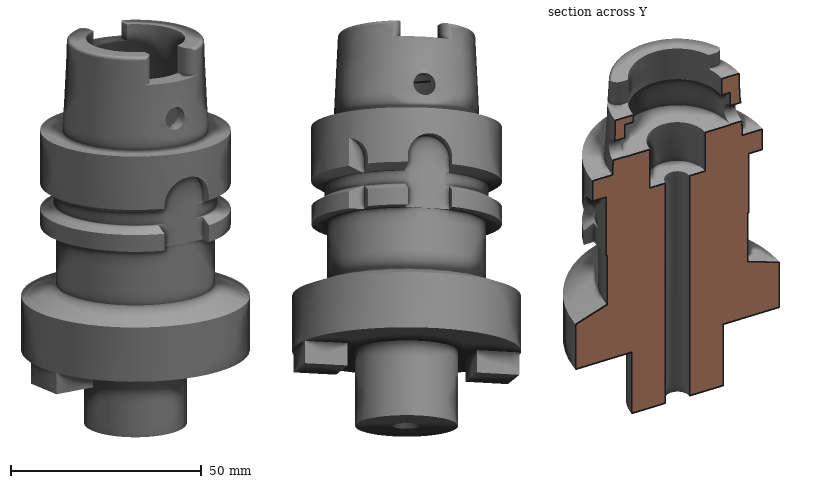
import cadquery as cq
import math


TAPER_LENGTH = 25.0
TAPER_BASE_RADIUS = 19.2
TAPER_RATIO = 0.1
TAPER_TOP_RADIUS = TAPER_BASE_RADIUS - TAPER_RATIO * TAPER_LENGTH / 2
TAPER_TOP_ROUND = 1.0

FLANGE_RADIUS = 25.0
FLANGE_THICKNESS = 26.0
GROOVE_CENTRE_Z = -18.0
GROOVE_FLOOR_WIDTH = 3.6
GROOVE_FLOOR_RADIUS = 21.5
GROOVE_CHAMFER_RADIUS = 22.2
GROOVE_FLANK_ANGLE = 30.0

NECK_RADIUS = 20.8
COLLAR_RADIUS = 30.0
COLLAR_CONE_ANGLE = 20.0
COLLAR_RIM_TOP_Z = -45.2
COLLAR_BOTTOM_Z = -60.0
SPIGOT_RADIUS = 13.5
SPIGOT_LENGTH = 20.0
SPIGOT_END_Z = COLLAR_BOTTOM_Z - SPIGOT_LENGTH

MOUTH_RADIUS = 13.0
MOUTH_DEPTH = 10.0
CAVITY_RADIUS = 15.5
CAVITY_FLOOR_Z = 4.6
SOCKET_RADIUS = 8.1
SOCKET_FLOOR_Z = -8.0
THROUGH_RADIUS = 3.5

SLOT_WIDTH = 10.6
SLOT_CORNER_RADIUS = 2.5
LUG_HALF_LENGTH = 16.25
LEFT_SLOT_DEPTH = 4.5
RIGHT_SLOT_DEPTH = 7.5

CROSS_HOLE_RADIUS = 3.0
CROSS_HOLE_Z = 7.7

LEFT_KEYWAY_WIDTH = 12.0
RIGHT_KEYWAY_WIDTH = 14.0
SLOT_TOP_Z = -6.8
KEYWAY_FLOOR_X = 21.0
NOTCH_WALL_Y = 15.6
NOTCH_FLOOR_X = 15.5
NOTCH_WIDTH = 12.0

KEY_WIDTH = 12.0
KEY_HEIGHT = 6.0
KEY_INNER_Y = 17.5
KEY_OUTER_Y = 29.0


def turned_body():
    flank_height = (FLANGE_RADIUS - GROOVE_CHAMFER_RADIUS) * math.tan(math.radians(GROOVE_FLANK_ANGLE))
    cone_height = (COLLAR_RADIUS - NECK_RADIUS) * math.tan(math.radians(COLLAR_CONE_ANGLE))
    groove_top = GROOVE_CENTRE_Z + GROOVE_FLOOR_WIDTH / 2
    groove_bottom = GROOVE_CENTRE_Z - GROOVE_FLOOR_WIDTH / 2
    profile = [
        (0, TAPER_LENGTH),
        (TAPER_TOP_RADIUS, TAPER_LENGTH),
        (TAPER_BASE_RADIUS, 0),
        (FLANGE_RADIUS, 0),
        (FLANGE_RADIUS, groove_top + flank_height),
        (GROOVE_CHAMFER_RADIUS, groove_top),
        (GROOVE_FLOOR_RADIUS, groove_top),
        (GROOVE_FLOOR_RADIUS, groove_bottom),
        (GROOVE_CHAMFER_RADIUS, groove_bottom),
        (FLANGE_RADIUS, groove_bottom - flank_height),
        (FLANGE_RADIUS, -FLANGE_THICKNESS),
        (NECK_RADIUS, -FLANGE_THICKNESS),
        (NECK_RADIUS, COLLAR_RIM_TOP_Z + cone_height),
        (COLLAR_RADIUS, COLLAR_RIM_TOP_Z),
        (COLLAR_RADIUS, COLLAR_BOTTOM_Z),
        (SPIGOT_RADIUS, COLLAR_BOTTOM_Z),
        (SPIGOT_RADIUS, SPIGOT_END_Z),
        (0, SPIGOT_END_Z),
    ]
    body = cq.Workplane("YZ").polyline(profile).close().revolve(360, (0, 0), (0, 1))
    return body.faces(">Z").edges().fillet(TAPER_TOP_ROUND)


def bore_section(radius, bottom_z, top_z):
    return cq.Workplane("XY").workplane(offset=bottom_z).circle(radius).extrude(top_z - bottom_z)


def stepped_bore():
    mouth_floor_z = TAPER_LENGTH - MOUTH_DEPTH
    bore = bore_section(MOUTH_RADIUS, mouth_floor_z, TAPER_LENGTH)
    bore = bore.union(bore_section(CAVITY_RADIUS, CAVITY_FLOOR_Z, mouth_floor_z))
    bore = bore.union(bore_section(SOCKET_RADIUS, SOCKET_FLOOR_Z, CAVITY_FLOOR_Z))
    return bore.union(bore_section(THROUGH_RADIUS, SPIGOT_END_Z, SOCKET_FLOOR_Z))


def drive_slot(side, depth):
    """Cutter for a slot in the shank end on the given X side; it rounds the lug corners."""
    r = SLOT_CORNER_RADIUS
    half = SLOT_WIDTH / 2
    round_y = half + r
    outer_x = LUG_HALF_LENGTH
    round_x = outer_x - r
    far = FLANGE_RADIUS
    diagonal = r * math.sqrt(0.5)
    return (
        cq.Workplane("XY")
        .workplane(offset=TAPER_LENGTH - depth)
        .moveTo(0, -half)
        .lineTo(side * round_x, -half)
        .threePointArc((side * (round_x + diagonal), -round_y + diagonal), (side * outer_x, -round_y))
        .lineTo(side * outer_x, -far)
        .lineTo(side * far, -far)
        .lineTo(side * far, far)
        .lineTo(side * outer_x, far)
        .lineTo(side * outer_x, round_y)
        .threePointArc((side * (round_x + diagonal), round_y - diagonal), (side * round_x, half))
        .lineTo(0, half)
        .close()
        .extrude(depth)
    )


def cross_hole():
    return (
        cq.Workplane("YZ")
        .center(0, CROSS_HOLE_Z)
        .circle(CROSS_HOLE_RADIUS)
        .extrude(TAPER_BASE_RADIUS, both=True)
    )


def round_topped_slot(centre_y, width, floor_x, side):
    """Cutter for a round-topped slot in the flange, open downward and outward along X."""
    half = width / 2
    arc_centre_z = SLOT_TOP_Z - half
    return (
        cq.Workplane("YZ")
        .workplane(offset=side * floor_x)
        .moveTo(centre_y - half, -FLANGE_THICKNESS)
        .lineTo(centre_y - half, arc_centre_z)
        .threePointArc((centre_y, SLOT_TOP_Z), (centre_y + half, arc_centre_z))
        .lineTo(centre_y + half, -FLANGE_THICKNESS)
        .close()
        .extrude(side * (COLLAR_RADIUS - floor_x))
    )


def driving_key(side):
    key_length = KEY_OUTER_Y - KEY_INNER_Y
    centre_y = side * (KEY_INNER_Y + KEY_OUTER_Y) / 2
    return (
        cq.Workplane("XY")
        .workplane(offset=COLLAR_BOTTOM_Z - KEY_HEIGHT)
        .center(0, centre_y)
        .rect(KEY_WIDTH, key_length)
        .extrude(KEY_HEIGHT)
    )


LEFT, RIGHT = -1, 1
FRONT, BACK = -1, 1

body = turned_body()
body = body.cut(stepped_bore())
body = body.cut(drive_slot(LEFT, LEFT_SLOT_DEPTH))
body = body.cut(drive_slot(RIGHT, RIGHT_SLOT_DEPTH))
body = body.cut(cross_hole())

body = body.cut(round_topped_slot(0, LEFT_KEYWAY_WIDTH, KEYWAY_FLOOR_X, LEFT))
body = body.cut(round_topped_slot(0, RIGHT_KEYWAY_WIDTH, KEYWAY_FLOOR_X, RIGHT))
notch_centre_y = NOTCH_WALL_Y + NOTCH_WIDTH / 2
notch = round_topped_slot(notch_centre_y, NOTCH_WIDTH, NOTCH_FLOOR_X, LEFT)
body = body.cut(notch)

for side in (FRONT, BACK):
    body = body.union(driving_key(side))

result = body